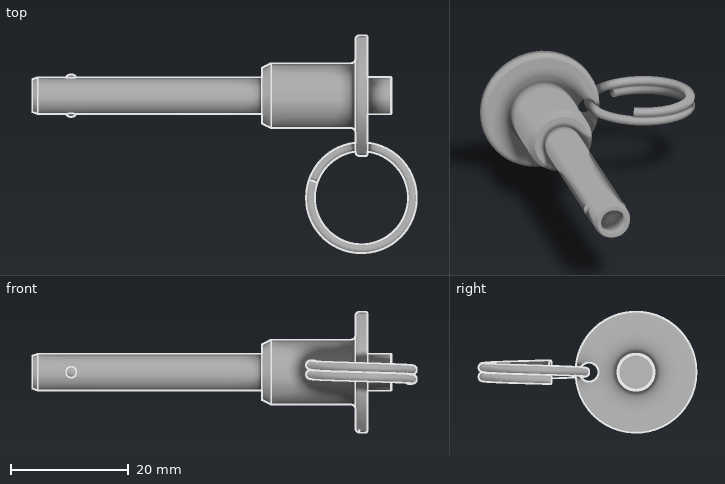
import cadquery as cq
import math


shank_radius = 6.3 / 2
grip_length = 39.11
tip_chamfer_length = 1.0
tip_chamfer_depth = 0.35
bore_radius = 4.3 / 2

handle_radius = 11.1 / 2
handle_chamfer_length = 1.6
handle_chamfer_depth = 0.8
flange_radius = 20.64 / 2
flange_front_x = 15.9
flange_thickness = 2.1
flange_back_x = flange_front_x + flange_thickness
flange_front_round = 0.8
flange_back_round = 0.4
handle_fillet = 0.7

spindle_recess = 4.0
button_radius = 6.35 / 2
button_end_x = 22.15
button_chamfer = 0.2

ball_radius = 1.0
ball_protrusion = 0.5
ball_x = -grip_length + 6.65
ball_center_y = shank_radius + ball_protrusion - ball_radius

ring_wire_radius = 1.55 / 2
ring_outer_radius = 9.45
ring_coil_radius = ring_outer_radius - ring_wire_radius
ring_pitch = 1.6
ring_end_angle = 19
ring_turns = (360 + 180 + 2 * ring_end_angle) / 360
ring_height = ring_turns * ring_pitch
ring_center_x = flange_front_x + flange_thickness / 2
ring_center_y = -17.38

ring_hole_radius = 1.6
ring_hole_y = -8.0


def make_body():
    diagonal = math.sqrt(0.5)
    fillet_x = flange_front_x - handle_fillet
    fillet_y = handle_radius + handle_fillet
    front_x = flange_front_x + flange_front_round
    front_y = flange_radius - flange_front_round
    back_x = flange_back_x - flange_back_round
    back_y = flange_radius - flange_back_round
    profile = (
        cq.Workplane("XY")
        .moveTo(-grip_length, bore_radius)
        .lineTo(-grip_length, shank_radius - tip_chamfer_depth)
        .lineTo(-grip_length + tip_chamfer_length, shank_radius)
        .lineTo(0, shank_radius)
        .lineTo(0, handle_radius - handle_chamfer_depth)
        .lineTo(handle_chamfer_length, handle_radius)
        .lineTo(fillet_x, handle_radius)
        .threePointArc(
            (fillet_x + handle_fillet * diagonal, fillet_y - handle_fillet * diagonal),
            (flange_front_x, fillet_y),
        )
        .lineTo(flange_front_x, front_y)
        .threePointArc(
            (front_x - flange_front_round * diagonal, front_y + flange_front_round * diagonal),
            (front_x, flange_radius),
        )
        .lineTo(back_x, flange_radius)
        .threePointArc(
            (back_x + flange_back_round * diagonal, back_y + flange_back_round * diagonal),
            (flange_back_x, back_y),
        )
        .lineTo(flange_back_x, bore_radius)
        .close()
    )
    body = profile.revolve(360, (0, 0, 0), (1, 0, 0))
    ring_hole = (
        cq.Workplane("YZ", origin=(flange_front_x, ring_hole_y, 0))
        .circle(ring_hole_radius)
        .extrude(flange_thickness)
    )
    return body.cut(ring_hole)


def make_spindle():
    front_x = -grip_length + spindle_recess
    profile = (
        cq.Workplane("XY")
        .moveTo(front_x, 0)
        .lineTo(front_x, bore_radius)
        .lineTo(flange_back_x, bore_radius)
        .lineTo(flange_back_x, button_radius)
        .lineTo(button_end_x - button_chamfer, button_radius)
        .lineTo(button_end_x, button_radius - button_chamfer)
        .lineTo(button_end_x, 0)
        .close()
    )
    return profile.revolve(360, (0, 0, 0), (1, 0, 0))


def make_ball(side):
    return cq.Workplane("XY").sphere(ball_radius).translate((ball_x, side * ball_center_y, 0))


def make_ring():
    coil = cq.Wire.makeHelix(ring_pitch, ring_height, ring_coil_radius, lefthand=True)
    rise_per_radian = ring_pitch / (2 * math.pi)
    start = cq.Plane(
        origin=(ring_coil_radius, 0, 0),
        xDir=(1, 0, 0),
        normal=(0, -ring_coil_radius, rise_per_radian),
    )
    wire = cq.Workplane(start).circle(ring_wire_radius).sweep(cq.Workplane(coil), isFrenet=True)
    return wire.rotate((0, 0, 0), (0, 0, 1), ring_end_angle).translate(
        (ring_center_x, ring_center_y, -ring_height / 2)
    )


body = make_body()
spindle = make_spindle()
balls = [make_ball(side) for side in (-1, 1)]
ring = make_ring()

for ball in balls:
    body = body.cut(ball)
    spindle = spindle.cut(ball)

result = cq.Compound.makeCompound(
    [body.val(), spindle.val(), *[ball.val() for ball in balls], ring.val()]
)